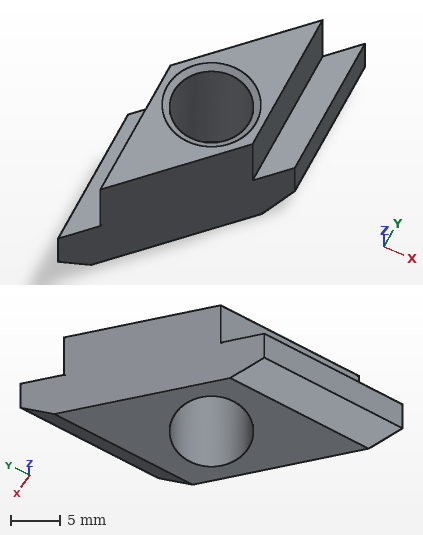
import cadquery as cq

length = 34.4
base_width = 18.0
height = 14.0

neck_width = 11.55
base_height = height / 2
bottom_chamfer = 2.5

hole_diameter = 8.5
countersink_diameter = 10.0
countersink_angle = 120

half_base = base_width / 2
half_neck = neck_width / 2
half_length = length / 2

right_side = [
    (half_base - bottom_chamfer, 0),
    (half_base, bottom_chamfer),
    (half_base, base_height),
    (half_neck, base_height),
    (half_neck, height),
]
left_side = [(-x, z) for x, z in reversed(right_side)]
bar = (
    cq.Workplane("XZ")
    .polyline(right_side + left_side)
    .close()
    .extrude(half_length, both=True)
)

side_length = length - base_width
plan = (
    cq.Workplane("XY")
    .polyline([
        (-half_base, -half_length),
        (half_base, half_length - side_length),
        (half_base, half_length),
        (-half_base, side_length - half_length),
    ])
    .close()
    .extrude(height)
)
body = bar.intersect(plan)


result = (
    body.faces(">Z")
    .workplane(origin=(0, 0, height))
    .cskHole(hole_diameter, countersink_diameter, countersink_angle)
)